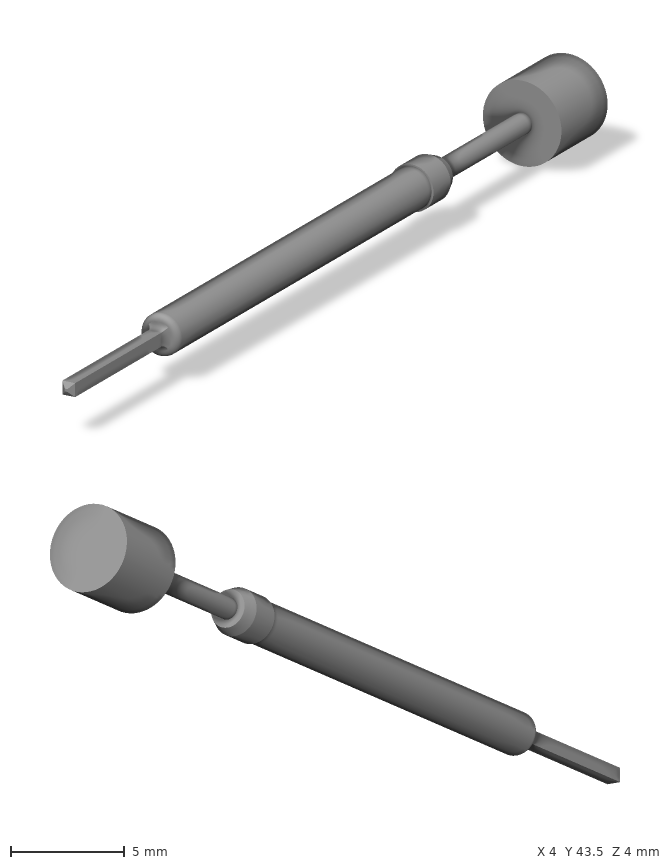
import cadquery as cq

TOTAL_LENGTH = 43.5
HEAD_DIAMETER = 4.0
HEAD_LENGTH = 4.0

PLUNGER_DIAMETER = 1.0
PLUNGER_LENGTH = 7.5

COLLAR_DIAMETER = 2.2
COLLAR_LENGTH = 2.1
COLLAR_TAPER_LENGTH = 0.6
COLLAR_NOSE_DIAMETER = 1.75

BARREL_DIAMETER = 2.0
BARREL_LENGTH = 21.92
BARREL_END_RADIUS = 0.3

POST_WIDTH = 0.65
TIP_LENGTH = 0.2
TIP_WIDTH = 0.15

BARREL_FACE_RADIUS = BARREL_DIAMETER / 2 - BARREL_END_RADIUS
FLARE_RADIUS = 0.3
FLARE_HALF_WIDTH = POST_WIDTH / 2 + FLARE_RADIUS

HEAD_BACK = TOTAL_LENGTH / 2
HEAD_FRONT = HEAD_BACK - HEAD_LENGTH
COLLAR_BACK = HEAD_FRONT - PLUNGER_LENGTH
COLLAR_FRONT = COLLAR_BACK - COLLAR_LENGTH
BARREL_FRONT = COLLAR_FRONT - BARREL_LENGTH
TIP_END = -TOTAL_LENGTH / 2
POST_FRONT = TIP_END + TIP_LENGTH


def section_plane(y):
    """Plane square to the probe axis at y, with its normal towards -Y."""
    return cq.Workplane("XZ", origin=(0, y, 0))


def make_turned_body():
    """Head, plunger, tapered collar and barrel, revolved about the Y axis."""
    profile = (
        cq.Workplane("ZY")
        .moveTo(0, HEAD_BACK)
        .lineTo(HEAD_DIAMETER / 2, HEAD_BACK)
        .lineTo(HEAD_DIAMETER / 2, HEAD_FRONT)
        .lineTo(PLUNGER_DIAMETER / 2, HEAD_FRONT)
        .lineTo(PLUNGER_DIAMETER / 2, COLLAR_BACK)
        .lineTo(COLLAR_NOSE_DIAMETER / 2, COLLAR_BACK)
        .lineTo(COLLAR_DIAMETER / 2, COLLAR_BACK - COLLAR_TAPER_LENGTH)
        .lineTo(COLLAR_DIAMETER / 2, COLLAR_FRONT)
        .lineTo(BARREL_DIAMETER / 2, COLLAR_FRONT)
        .lineTo(BARREL_DIAMETER / 2, BARREL_FRONT + BARREL_END_RADIUS)
        .radiusArc((BARREL_FACE_RADIUS, BARREL_FRONT), BARREL_END_RADIUS)
        .lineTo(0, BARREL_FRONT)
        .close()
    )
    return profile.revolve(360, (0, 0, 0), (0, 1, 0))


def make_flare_prism(plane):
    """Prism with the concave flare of the post on its two long sides."""
    return (
        cq.Workplane(plane, origin=(0, BARREL_FRONT, 0))
        .moveTo(-FLARE_HALF_WIDTH, 0)
        .radiusArc((-POST_WIDTH / 2, -FLARE_RADIUS), FLARE_RADIUS)
        .lineTo(POST_WIDTH / 2, -FLARE_RADIUS)
        .radiusArc((FLARE_HALF_WIDTH, 0), FLARE_RADIUS)
        .close()
        .extrude(FLARE_HALF_WIDTH, both=True)
    )


def make_flare():
    """Mitred flare where the square post meets the round barrel face."""
    face_limit = section_plane(BARREL_FRONT).circle(BARREL_FACE_RADIUS).extrude(FLARE_RADIUS)
    return make_flare_prism("XY").intersect(make_flare_prism("ZY")).intersect(face_limit)


def make_post():
    """Square post ending in a small blunt pyramid."""
    post = section_plane(BARREL_FRONT).rect(POST_WIDTH, POST_WIDTH).extrude(BARREL_FRONT - POST_FRONT)
    tip = (
        section_plane(POST_FRONT)
        .rect(POST_WIDTH, POST_WIDTH)
        .workplane(offset=TIP_LENGTH)
        .rect(TIP_WIDTH, TIP_WIDTH)
        .loft(ruled=True)
    )
    return post.union(tip)


result = make_turned_body().union(make_flare()).union(make_post())